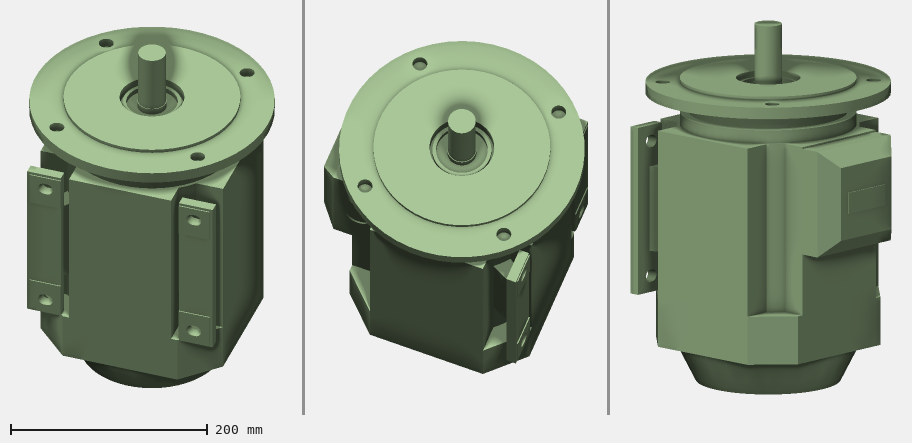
import cadquery as cq
import math

SIDES = (-1, 1)

total_height = 370.5
cowl_top = 40.0
notch_bottom = 90.0
housing_top = 265.3
shield_top = 279.0
cap_top = 293.0
flange_bottom = 298.5
flange_top = 310.5
register_top = 314.0

housing_half = 196.7 / 2
corner_flat_half = 62.0
core_radius = 93.0
notch_half = 110.0 / 2

cowl_top_radius = 94.5
cowl_bottom_radius = 74
shield_radius = 90.0
cap_radius = 80.8
cap_round = 6.0
cap_wall_top = 288.0
neck_bottom_radius = 55.0
neck_top_radius = 52.2

flange_radius = 250.0 / 2
lip_radius = 87.8
lip_thickness = 1.0
bolt_offset = 76.0
bolt_hole_diameter = 15.2
bolt_hole_depth = 10.0

recess_radius = 33.0
recess_depth = 11
seal_outer_radius = 30.0
seal_inner_radius = 26.3
seal_depth = 5.5
shoulder_depth = 4.5
shoulder_radius = 15
shaft_radius = 14.0

foot_outer_x = 100
foot_inner_x = 63.7
foot_back_y = -88.0
foot_front_y = -98.5
foot_bottom = 90.5
foot_top = 264.5
foot_middle = (foot_bottom + foot_top) / 2
pad_margin = 3.0
pad_height = 35.0
pad_thickness = 1.0
foot_hole_x = 80.0
foot_hole_spacing = 140.5
foot_slot_length = 15.5
foot_slot_width = 12.5

web_bottom = 133.5
web_top = 221.5
web_inner_end_x = 65.2
web_outer_end_x = 82.5

box_half = notch_half
box_back_y = 119.0
box_bottom = 153.5
box_top = box_bottom + 2 * box_half
lid_taper = 17.0
lid_back_y = box_back_y + lid_taper
plate_width = 55.0
plate_bottom = 197.0
plate_top = 219.0
plate_thickness = 0.93
entry_y = 92.5
entry_depth = 2.0
cable_entries = ((231.2, 20.7), (197.0, 25.2))


def cylinder(radius, bottom, top):
    return cq.Workplane("XY").workplane(offset=bottom).circle(radius).extrude(top - bottom)


def block(x_ends, y_ends, z_ends):
    size = [abs(b - a) for a, b in (x_ends, y_ends, z_ends)]
    corner = [min(ends) for ends in (x_ends, y_ends, z_ends)]
    return cq.Workplane("XY").box(*size, centered=False).translate(tuple(corner))


def make_housing():
    height = housing_top - cowl_top
    housing = (
        cq.Workplane("XY").workplane(offset=cowl_top)
        .rect(2 * housing_half, 2 * housing_half).extrude(height)
        .edges("|Z").chamfer(housing_half - corner_flat_half)
    )
    for x_side in SIDES:
        for y_side in SIDES:
            notch = block(
                (x_side * notch_half, x_side * housing_half),
                (y_side * corner_flat_half, y_side * housing_half),
                (notch_bottom, housing_top),
            )
            housing = housing.cut(notch)
    return housing.union(cylinder(core_radius, notch_bottom, housing_top))


def make_cowl():
    return (
        cq.Workplane("XY").circle(cowl_bottom_radius)
        .workplane(offset=cowl_top).circle(cowl_top_radius).loft(ruled=True)
    )


def make_drive_end():
    shield = cylinder(shield_radius, housing_top, shield_top)
    cap_top_radius = cap_radius - cap_round + math.sqrt(cap_round**2 - (cap_top - cap_wall_top) ** 2)
    cap = (
        cq.Workplane("XZ").moveTo(0, shield_top).lineTo(cap_radius, shield_top)
        .lineTo(cap_radius, cap_wall_top)
        .radiusArc((cap_top_radius, cap_top), -cap_round)
        .lineTo(0, cap_top).close().revolve(360, (0, 0, 0), (0, 1, 0))
    )
    neck = (
        cq.Workplane("XY").workplane(offset=cap_top).circle(neck_bottom_radius)
        .workplane(offset=flange_bottom - cap_top).circle(neck_top_radius).loft(ruled=True)
    )
    return shield.union(cap).union(neck)


def make_flange():
    flange = (
        cylinder(flange_radius, flange_bottom, flange_top)
        .faces(">Z").workplane()
        .rect(2 * bolt_offset, 2 * bolt_offset, forConstruction=True)
        .vertices().hole(bolt_hole_diameter, bolt_hole_depth)
    )
    lip = cylinder(lip_radius, flange_bottom - lip_thickness, flange_bottom)
    register = cylinder(shield_radius, flange_top, register_top)
    return flange.union(lip).union(register)


def make_seal_and_shaft():
    floor = register_top - recess_depth
    seal_top = register_top - seal_depth
    seal = cylinder(seal_outer_radius, floor, seal_top)
    seal = seal.cut(cylinder(seal_inner_radius, floor, seal_top))
    shoulder = cylinder(shoulder_radius, floor, register_top - shoulder_depth)
    shaft = cylinder(shaft_radius, floor, total_height)
    return seal.union(shoulder).union(shaft)


def make_foot():
    """Foot on the +X side, with two raised pads, slotted holes and a diagonal web."""
    foot = block((foot_inner_x, foot_outer_x), (foot_back_y, foot_front_y), (foot_bottom, foot_top))
    pad_x = (foot_inner_x, foot_outer_x - pad_margin)
    pad_y = (foot_front_y, foot_front_y - pad_thickness)
    low = foot_bottom + pad_margin
    high = foot_top - pad_margin
    foot = foot.union(block(pad_x, pad_y, (low, low + pad_height)))
    foot = foot.union(block(pad_x, pad_y, (high - pad_height, high)))

    web_outer_start_x = math.sqrt(core_radius**2 - corner_flat_half**2)
    web_inner_start_y = -math.sqrt(core_radius**2 - notch_half**2)
    web = (
        cq.Workplane("XY").workplane(offset=web_bottom)
        .moveTo(notch_half, -corner_flat_half)
        .lineTo(web_outer_start_x, -corner_flat_half)
        .lineTo(web_outer_end_x, foot_back_y)
        .lineTo(web_inner_end_x, foot_back_y)
        .lineTo(notch_half, web_inner_start_y)
        .close().extrude(web_top - web_bottom)
    )
    slots = (
        cq.Workplane("XZ", origin=(foot_hole_x, foot_back_y, foot_middle))
        .pushPoints([(0, side * foot_hole_spacing / 2) for side in SIDES])
        .slot2D(foot_slot_length, foot_slot_width)
        .extrude(foot_back_y - foot_front_y + pad_thickness)
    )
    return foot.cut(slots).union(web)


def make_terminal_box():
    box = block((-box_half, box_half), (corner_flat_half, lid_back_y), (box_bottom, box_top))
    box = box.faces(">Y").edges().chamfer(lid_taper)
    plate = block(
        (-plate_width / 2, plate_width / 2),
        (lid_back_y, lid_back_y + plate_thickness),
        (plate_bottom, plate_top),
    )
    return box.union(plate)


def make_cable_entries():
    entries = cq.Workplane("XY")
    for height, diameter in cable_entries:
        entry = (
            cq.Workplane("YZ", origin=(-box_half, entry_y, height))
            .circle(diameter / 2).extrude(entry_depth)
        )
        entries = entries.union(entry)
    return entries


foot = make_foot()
result = (
    make_housing()
    .union(make_cowl())
    .union(make_drive_end())
    .union(make_flange())
    .cut(cylinder(recess_radius, register_top - recess_depth, register_top))
    .union(make_seal_and_shaft())
    .union(foot)
    .union(foot.mirror("YZ"))
    .union(make_terminal_box())
    .cut(make_cable_entries())
)